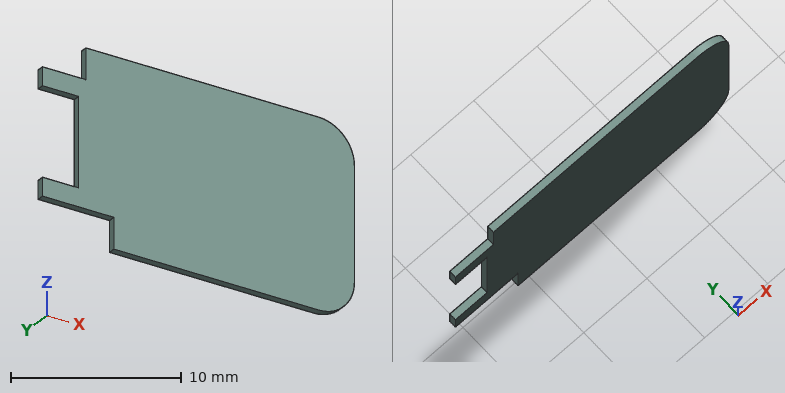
import cadquery as cq

length = 21.65
height = 12.75
thickness = 0.5
corner_radius = 2.5

tab_width = 1.25
tab_inset = 2.1
notch_depth = 2.5
upper_step = 3.0
lower_step = 4.95

half_length = length / 2
half_height = height / 2
tip_x = -half_length
tab_outer_z = half_height - tab_inset
tab_inner_z = tab_outer_z - tab_width

outline = [
    (tip_x + upper_step, half_height),
    (half_length, half_height),
    (half_length, -half_height),
    (tip_x + lower_step, -half_height),
    (tip_x + lower_step, -tab_outer_z),
    (tip_x, -tab_outer_z),
    (tip_x, -tab_inner_z),
    (tip_x + notch_depth, -tab_inner_z),
    (tip_x + notch_depth, tab_inner_z),
    (tip_x, tab_inner_z),
    (tip_x, tab_outer_z),
    (tip_x + upper_step, tab_outer_z),
]

plate = cq.Workplane("XZ").polyline(outline).close().extrude(thickness / 2, both=True)

result = plate.edges("|Y and >X").fillet(corner_radius)